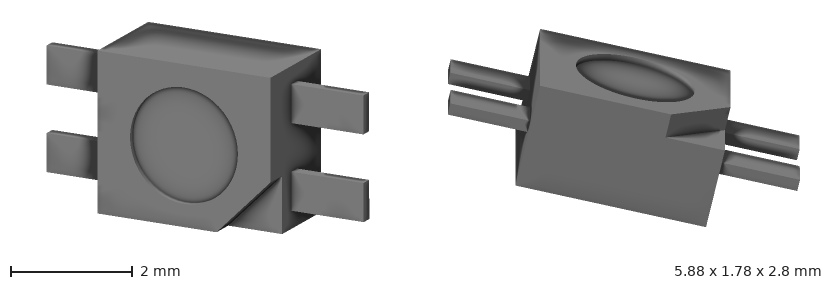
import cadquery as cq

body_length = 3.205
body_depth = 1.78
body_height = 2.8
front_y = -body_depth / 2

recess_diameter = 2.0
recess_depth = 0.11

corner_leg = 1.0
corner_depth = 0.41

lead_length = 1.335
lead_thickness = 0.2
lead_width = 0.67
lead_pitch = 1.505
lead_offset_y = -0.05
marked_lead_flare = 0.005


def make_body():
    block = cq.Workplane("XY").box(body_length, body_depth, body_height)
    front = cq.Workplane("XZ", origin=(0, front_y, 0))
    recess = front.circle(recess_diameter / 2).extrude(-recess_depth)
    right = body_length / 2
    bottom = -body_height / 2
    corner_step = (
        front.moveTo(right, bottom)
        .lineTo(right, bottom + corner_leg)
        .lineTo(right - corner_leg, bottom)
        .close()
        .extrude(-corner_depth)
    )
    return block.cut(recess).cut(corner_step)


def make_lead(side, level, flare):
    """Lead at one end (side) and height (level), each -1 or 1; flare lengthens its lower edge."""
    root_x = side * body_length / 2
    tip_x = root_x + side * lead_length
    middle_z = level * lead_pitch / 2
    top_z = middle_z + lead_width / 2
    bottom_z = middle_z - lead_width / 2
    return (
        cq.Workplane("XZ", origin=(0, lead_offset_y, 0))
        .moveTo(root_x, bottom_z)
        .lineTo(tip_x + side * flare, bottom_z)
        .lineTo(tip_x, top_z)
        .lineTo(root_x, top_z)
        .close()
        .extrude(lead_thickness / 2, both=True)
    )


result = make_body()
for side in (-1, 1):
    for level in (-1, 1):
        is_marked = side == 1 and level == -1
        flare = marked_lead_flare if is_marked else 0
        result = result.union(make_lead(side, level, flare))